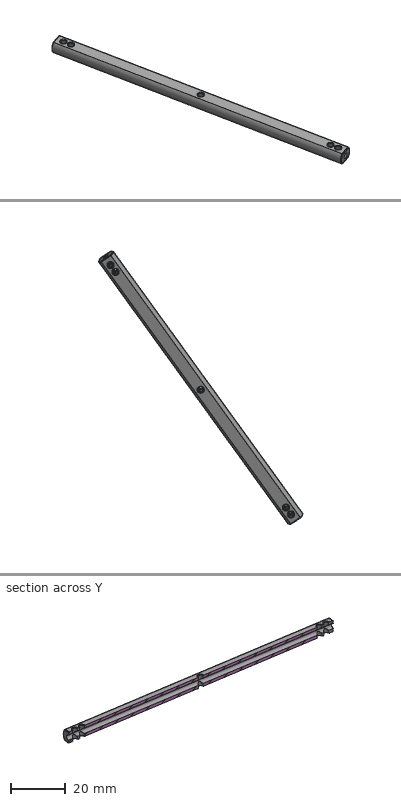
import cadquery as cq

length = 121.9
rod_diameter = 6.6
height_across_flats = 5.0
end_chamfer = 0.3

axial_bore_diameter = 2.1

hole_diameter = 2.0
countersink_diameter = 2.7
countersink_angle = 120
end_to_outer_hole = 3.2
hole_pitch = 3.2


def flatted_rod():
    rod = cq.Workplane("YZ").circle(rod_diameter / 2).extrude(length / 2, both=True)
    slab = cq.Workplane("XY").box(length, rod_diameter, height_across_flats)
    return rod.intersect(slab).faces("<X or >X").chamfer(end_chamfer)


def drill_axial_bore(bar):
    return bar.faces("<X").workplane(origin=(0, 0, 0)).hole(axial_bore_diameter)


def drill_cross_holes(bar):
    outer_x = length / 2 - end_to_outer_hole
    inner_x = outer_x - hole_pitch
    hole_centres = [(x, 0) for x in (-outer_x, -inner_x, 0, inner_x, outer_x)]
    for flat in (">Z", "<Z"):
        bar = (
            bar.faces(flat)
            .workplane(origin=(0, 0, 0))
            .pushPoints(hole_centres)
            .cskHole(hole_diameter, countersink_diameter, countersink_angle)
        )
    return bar


result = drill_cross_holes(drill_axial_bore(flatted_rod()))